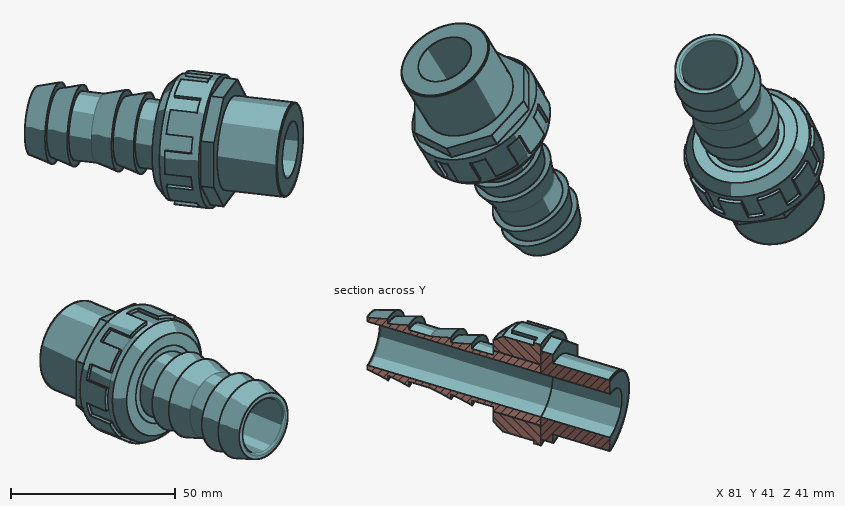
import cadquery as cq
import math

TOTAL_LENGTH = 81.0
BORE_RADIUS = 8.75
NUT_START = 42.0
NUT_END = 57.9

NECK_RADIUS = 10.6
BARB_RADIUS = 12.55
PITCHES_TO_NUT = 6
BARB_PITCH = NUT_START / PITCHES_TO_NUT
BARB_STEPS = (0, 1, 3, 4)
MOUTH_FILLET = 0.65
COLLAR_RADIUS = 12.5

NUT_FACE_RADIUS = 16.45
NUT_BODY_RADIUS = 19.4
NUT_RIM_RADIUS = 20.5
NUT_CONE_LENGTH = 3.15
RIM_START = 47.15
NOTCH_END = 55.5
NOTCH_COUNT = 10
NOTCH_PITCH = 360.0 / NOTCH_COUNT
NOTCH_SHARE = 0.4
NOTCH_ANGLE = NOTCH_SHARE * NOTCH_PITCH
NOTCH_OVERCUT = 1.05

OCTAGON_SIDES = 8
OCTAGON_ACROSS_FLATS = 36.0
OCTAGON_END = 62.05
SPIGOT_RADIUS = 14.5
SPIGOT_CHAMFER = 0.3


def cylinder(radius, start, end):
    """Solid cylinder on the X axis between two X positions."""
    return cq.Workplane("YZ", origin=(start, 0, 0)).circle(radius).extrude(end - start)


def revolved(profile):
    """Turn a closed (x, radius) profile about the X axis."""
    return cq.Workplane("XY").polyline(profile).close().revolve(360, (0, 0, 0), (1, 0, 0))


def make_hose_tail():
    """Barbed tube whose collar fills the bore of the nut."""
    tail = cylinder(NECK_RADIUS, 0, NUT_START)
    for step in BARB_STEPS:
        start = step * BARB_PITCH
        end = start + BARB_PITCH
        barb = revolved([(start, 0), (start, NECK_RADIUS), (end, BARB_RADIUS), (end, 0)])
        tail = tail.union(barb)
    tail = tail.union(cylinder(COLLAR_RADIUS, NUT_START, NUT_END))
    tail = tail.cut(cylinder(BORE_RADIUS, 0, NUT_END))
    mouth_edge = tail.faces("<X").edges(cq.selectors.RadiusNthSelector(0))
    return mouth_edge.fillet(MOUTH_FILLET)


def make_notch(angle):
    """Sector-shaped notch through the nut rim, centred at an angle from +Z."""
    half_angle = math.radians(NOTCH_ANGLE / 2)
    reach = NUT_RIM_RADIUS + NOTCH_OVERCUT
    half_width = reach * math.tan(half_angle)
    sector = (
        cq.Workplane("YZ", origin=(RIM_START, 0, 0))
        .polyline([(0, 0), (half_width, reach), (-half_width, reach)])
        .close()
        .extrude(NOTCH_END - RIM_START)
    )
    notch = sector.cut(cylinder(NUT_BODY_RADIUS, RIM_START, NOTCH_END))
    return notch.rotate((0, 0, 0), (1, 0, 0), angle)


def make_nut():
    """Coned ring with a raised, notched gripping rim."""
    cone_end = NUT_START + NUT_CONE_LENGTH
    nut = revolved([
        (NUT_START, COLLAR_RADIUS),
        (NUT_START, NUT_FACE_RADIUS),
        (cone_end, NUT_BODY_RADIUS),
        (RIM_START, NUT_BODY_RADIUS),
        (RIM_START, NUT_RIM_RADIUS),
        (NUT_END, NUT_RIM_RADIUS),
        (NUT_END, COLLAR_RADIUS),
    ])
    for index in range(NOTCH_COUNT):
        nut = nut.cut(make_notch(index * NOTCH_PITCH))
    return nut


def make_adapter():
    """Octagonal wrench collar with a plain spigot."""
    across_corners = OCTAGON_ACROSS_FLATS / math.cos(math.pi / OCTAGON_SIDES)
    octagon = (
        cq.Workplane("YZ", origin=(NUT_END, 0, 0))
        .polygon(OCTAGON_SIDES, across_corners)
        .extrude(OCTAGON_END - NUT_END)
        .rotate((0, 0, 0), (1, 0, 0), 180.0 / OCTAGON_SIDES)
    )
    spigot = cylinder(SPIGOT_RADIUS, OCTAGON_END, TOTAL_LENGTH).faces(">X").chamfer(SPIGOT_CHAMFER)
    return octagon.union(spigot).cut(cylinder(BORE_RADIUS, NUT_END, TOTAL_LENGTH))


hose_tail = make_hose_tail()
nut = make_nut()
adapter = make_adapter()

result = cq.Compound.makeCompound([hose_tail.val(), nut.val(), adapter.val()])